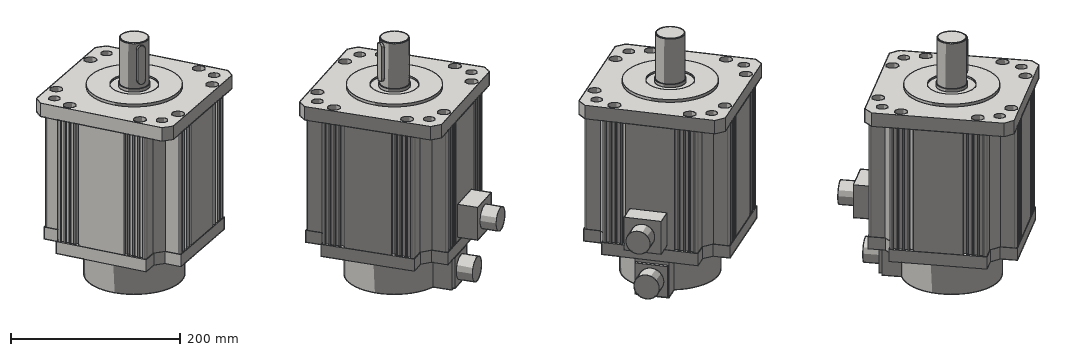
import cadquery as cq
import math


TOTAL_HEIGHT = 308.0
CAP_HEIGHT = 51.0
REAR_PLATE_THICKNESS = 15.7
STATOR_LENGTH = 158.5
FLANGE_THICKNESS = 17.5
PILOT_HEIGHT = 3.7

REAR_PLATE_Z = CAP_HEIGHT
STATOR_Z = REAR_PLATE_Z + REAR_PLATE_THICKNESS
FLANGE_Z = STATOR_Z + STATOR_LENGTH
FLANGE_TOP = FLANGE_Z + FLANGE_THICKNESS
PILOT_TOP = FLANGE_TOP + PILOT_HEIGHT

FLANGE_SIDE = 180.0
FLANGE_CORNER_CHAMFER = 10.2
PILOT_RADIUS = 57.0
SEAL_RECESS_RADIUS = 29.0
SEAL_RECESS_DEPTH = 2.2
MOUNT_HOLE_SPACING = 141.5
MOUNT_HOLE_DIAMETER = 13.5
BOLT_CIRCLE_RADIUS = 92.5
BOLT_ANGLE_FROM_AXIS = 30.0
BOLT_HOLE_DIAMETER = 9.2
BOLT_HEAD_DIAMETER = 15.0
BOLT_HEAD_DEPTH = 9.5

STATOR_HALF = 89.3
STATOR_CORE_RADIUS = 91.0
STATOR_CORE_HALF = 77.0
ARM_HALF_WIDTH = 58.5
ARM_EDGE_FILLET = 2.8
FLAT_HALF_WIDTH = 30.0
FIN_WIDTH = 2.0
GROOVE_WIDTH = 4.5
GROOVE_DEPTH = 2.8
INNER_GROOVE_DEPTH = 3.5
INNER_GROOVE_FLOOR_DROP = 1.7
GROOVES_PER_HALF = 4
TAPPED_HOLE_DIAMETER = 8.0
TAPPED_HOLE_DEPTH = 18.5
TAPPED_HOLE_SIDE_OFFSET = 46.2
TAPPED_HOLE_FACE_OFFSET = 79.2

REAR_PLATE_HALF = FLANGE_SIDE / 2
REAR_ARM_HALF_WIDTH = 59.0
REAR_NOTCH_CHAMFER = 10.0

SHAFT_RADIUS = 17.5
SHAFT_TOP_CHAMFER = 1.0
COLLAR_RADIUS = 18.8
COLLAR_STAND_OUT = 2.0
KEY_ANGLE = -39.0
KEY_WIDTH = 10.0
KEY_LENGTH = 50.2
KEY_HEIGHT = 8.0
KEY_OUTER_OFFSET = 20.5
KEY_TOP_GAP = 3.0

CAP_RADIUS = 60.0
CAP_BOX_WIDTH = 41.3
CAP_BOX_END = 80.5

ENCODER_PLATE_SIDE = 40.0
ENCODER_PLATE_THICKNESS = 3.7
ENCODER_PLUG_DIAMETER = 31.0
ENCODER_PLUG_LENGTH = 20.3
ENCODER_CONNECTOR_Z = 22.5

POWER_CONNECTOR_X = 2.0
POWER_CONNECTOR_Z = 93.5
POWER_BOX_WIDTH = 45.5
POWER_BOX_HEIGHT = 42.8
POWER_BOX_END = 114.5
POWER_PLUG_DIAMETER = 29.5
POWER_PLUG_LENGTH = 20.3

QUARTER_TURNS = [0, 90, 180, 270]


def rotated(x, y, degrees):
    """The point (x, y) turned about the motor axis."""
    angle = math.radians(degrees)
    return (
        x * math.cos(angle) - y * math.sin(angle),
        x * math.sin(angle) + y * math.cos(angle),
    )


def plane_at(z):
    return cq.Workplane("XY").workplane(offset=z)


def block(x_size, y_size, z_size, z):
    """A block centred on the motor axis, standing on height z."""
    return plane_at(z).rect(x_size, y_size).extrude(z_size)


def make_flange():
    flange = block(FLANGE_SIDE, FLANGE_SIDE, FLANGE_THICKNESS, FLANGE_Z)
    flange = flange.edges("|Z").chamfer(FLANGE_CORNER_CHAMFER)
    flange = flange.union(plane_at(FLANGE_TOP).circle(PILOT_RADIUS).extrude(PILOT_HEIGHT))

    flange = flange.cut(plane_at(PILOT_TOP).circle(SEAL_RECESS_RADIUS).extrude(-SEAL_RECESS_DEPTH))
    flange = flange.cut(plane_at(FLANGE_Z).circle(COLLAR_RADIUS).extrude(PILOT_TOP - FLANGE_Z))

    mount_holes = (
        plane_at(FLANGE_Z)
        .rect(MOUNT_HOLE_SPACING, MOUNT_HOLE_SPACING, forConstruction=True)
        .vertices()
        .circle(MOUNT_HOLE_DIAMETER / 2)
        .extrude(FLANGE_THICKNESS)
    )
    flange = flange.cut(mount_holes)

    bolt_points = [
        rotated(BOLT_CIRCLE_RADIUS, 0, turn + side * BOLT_ANGLE_FROM_AXIS)
        for turn in QUARTER_TURNS
        for side in (-1, 1)
    ]
    bolts = plane_at(FLANGE_Z).pushPoints(bolt_points)
    heads = plane_at(FLANGE_TOP).pushPoints(bolt_points)
    flange = flange.cut(bolts.circle(BOLT_HOLE_DIAMETER / 2).extrude(FLANGE_THICKNESS))
    return flange.cut(heads.circle(BOLT_HEAD_DIAMETER / 2).extrude(-BOLT_HEAD_DEPTH))


def make_side_grooves():
    """Cooling grooves of the stator's +X side; the inner ones have a sloped floor."""
    grooves = plane_at(STATOR_Z)
    for side in (-1, 1):
        for index in range(GROOVES_PER_HALF):
            start = FLAT_HALF_WIDTH + index * (GROOVE_WIDTH + FIN_WIDTH)
            end = start + GROOVE_WIDTH
            if index == 0:
                start_depth = INNER_GROOVE_DEPTH
                end_depth = INNER_GROOVE_DEPTH + INNER_GROOVE_FLOOR_DROP
            else:
                start_depth = GROOVE_DEPTH
                end_depth = GROOVE_DEPTH
            outline = [
                (STATOR_HALF, side * start),
                (STATOR_HALF - start_depth, side * start),
                (STATOR_HALF - end_depth, side * end),
                (STATOR_HALF, side * end),
            ]
            grooves = grooves.polyline(outline).close()
    return grooves.extrude(STATOR_LENGTH)


def make_stator():
    core_side = 2 * STATOR_CORE_HALF
    stator = plane_at(STATOR_Z).circle(STATOR_CORE_RADIUS).extrude(STATOR_LENGTH)
    stator = stator.intersect(block(core_side, core_side, STATOR_LENGTH, STATOR_Z))
    arm = block(2 * STATOR_HALF, 2 * ARM_HALF_WIDTH, STATOR_LENGTH, STATOR_Z)
    arm = arm.edges("|Z").fillet(ARM_EDGE_FILLET)
    stator = stator.union(arm).union(arm.rotate((0, 0, 0), (0, 0, 1), 90))

    grooves = make_side_grooves()
    for turn in QUARTER_TURNS:
        stator = stator.cut(grooves.rotate((0, 0, 0), (0, 0, 1), turn))

    points = [rotated(TAPPED_HOLE_SIDE_OFFSET, TAPPED_HOLE_FACE_OFFSET, turn) for turn in QUARTER_TURNS]
    tapped = plane_at(FLANGE_Z).pushPoints(points).circle(TAPPED_HOLE_DIAMETER / 2)
    return stator.cut(tapped.extrude(-TAPPED_HOLE_DEPTH))


def make_rear_plate():
    """A cross-shaped plate whose inside corners are cut across at 45 degrees."""
    inner = REAR_ARM_HALF_WIDTH + REAR_NOTCH_CHAMFER
    corner = [
        (REAR_PLATE_HALF, REAR_ARM_HALF_WIDTH),
        (inner, REAR_ARM_HALF_WIDTH),
        (REAR_ARM_HALF_WIDTH, inner),
        (REAR_ARM_HALF_WIDTH, REAR_PLATE_HALF),
    ]
    outline = [rotated(x, y, turn) for turn in QUARTER_TURNS for x, y in corner]
    return plane_at(REAR_PLATE_Z).polyline(outline).close().extrude(REAR_PLATE_THICKNESS)


def make_key():
    """A round-ended key lying along the shaft, turned to its angle about the axis."""
    key = (
        cq.Workplane("YZ", origin=(KEY_OUTER_OFFSET, 0, TOTAL_HEIGHT - KEY_TOP_GAP - KEY_LENGTH / 2))
        .slot2D(KEY_LENGTH, KEY_WIDTH, 90)
        .extrude(-KEY_HEIGHT)
    )
    return key.rotate((0, 0, 0), (0, 0, 1), KEY_ANGLE)


def make_shaft(key):
    """The shaft, standing on the stator, with a seat cut to the shape of the key."""
    collar_length = PILOT_TOP + COLLAR_STAND_OUT - FLANGE_Z
    shaft = plane_at(FLANGE_Z).circle(SHAFT_RADIUS).extrude(TOTAL_HEIGHT - FLANGE_Z)
    shaft = shaft.faces(">Z").chamfer(SHAFT_TOP_CHAMFER)
    shaft = shaft.union(plane_at(FLANGE_Z).circle(COLLAR_RADIUS).extrude(collar_length))
    return shaft.cut(key)


def make_cap():
    """The round encoder cap with a flat-ended box on its +Y side."""
    box = (
        cq.Workplane("XY")
        .center(0, CAP_BOX_END / 2)
        .rect(CAP_BOX_WIDTH, CAP_BOX_END)
        .extrude(CAP_HEIGHT)
    )
    return cq.Workplane("XY").circle(CAP_RADIUS).extrude(CAP_HEIGHT).union(box)


def make_connector(x, z, base_y, base_size, base_length, plug_diameter, plug_length):
    """A rectangular base with a round plug, pointing to +Y from the face at base_y."""
    outward = cq.Workplane("XZ", origin=(x, base_y, z))
    base = outward.rect(*base_size).extrude(-base_length)
    plug = outward.circle(plug_diameter / 2).extrude(-base_length - plug_length)
    return base.union(plug)


flange = make_flange()
stator = make_stator()
rear_plate = make_rear_plate()
key = make_key()
shaft = make_shaft(key)
cap = make_cap()
encoder_connector = make_connector(
    0,
    ENCODER_CONNECTOR_Z,
    CAP_BOX_END,
    (ENCODER_PLATE_SIDE, ENCODER_PLATE_SIDE),
    ENCODER_PLATE_THICKNESS,
    ENCODER_PLUG_DIAMETER,
    ENCODER_PLUG_LENGTH,
)
power_connector = make_connector(
    POWER_CONNECTOR_X,
    POWER_CONNECTOR_Z,
    STATOR_HALF,
    (POWER_BOX_WIDTH, POWER_BOX_HEIGHT),
    POWER_BOX_END - STATOR_HALF,
    POWER_PLUG_DIAMETER,
    POWER_PLUG_LENGTH,
)

result = cq.Compound.makeCompound(
    [
        flange.val(),
        stator.val(),
        rear_plate.val(),
        shaft.val(),
        key.val(),
        cap.val(),
        encoder_connector.val(),
        power_connector.val(),
    ]
)